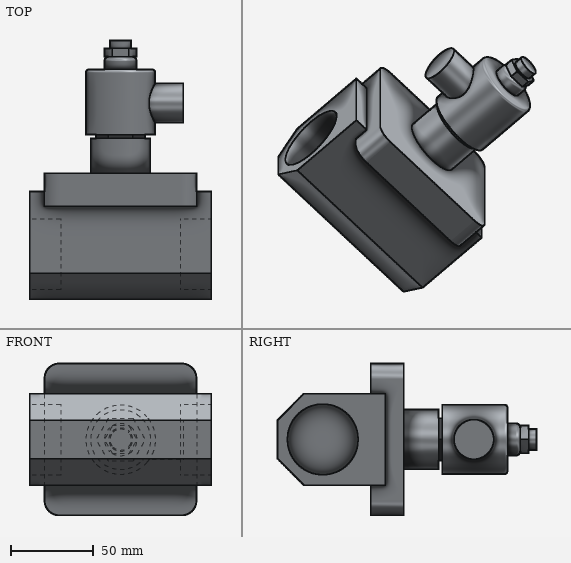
import cadquery as cq

BLOCK_LENGTH = 110.0
BLOCK_HEIGHT = 55.5
BLOCK_BACK = 65.4
CHAMFER_DEPTH = 16.0
CHAMFER_HEIGHT = 16.2

PORT_DIAMETER = 42.8
PORT_CENTER_Y = 27.5
PORT_DEPTH = 18.8

FLANGE_SIZE = 92.0
FLANGE_CORNER_RADIUS = 9.1
FLANGE_FRONT = 56.5
FLANGE_BACK = 76.5

COLLAR_DIAMETER = 36.2
COLLAR_BACK = 97.5
NECK_HEX_CORNERS = 29.8

COIL_DIAMETER = 42.0
COIL_FRONT = 99.7
COIL_BACK = 139.2
COIL_FILLET = 1.9

CONDUIT_DIAMETER = 24.0
CONDUIT_CENTER_Y = 118.9
CONDUIT_END_X = 38.1

BOSS_DIAMETER = 19.6
BOSS_BACK = 147.0
BOSS_FILLET = 2.7
NUT_CORNERS = 19.6
NUT_BACK = 152.0
STUD_DIAMETER = 12.9
STUD_BACK = 156.8


def plane_facing_back(y):
    """XZ plane at the given Y, with its normal along +Y."""
    return cq.Workplane(cq.Plane(origin=(0, y, 0), xDir=(1, 0, 0), normal=(0, 1, 0)))


def cylinder_along_y(diameter, front, back):
    return plane_facing_back(front).circle(diameter / 2).extrude(back - front)


def hexagon_along_y(corners, front, back):
    """Hexagonal prism with two of its corners on the X axis."""
    return plane_facing_back(front).polygon(6, corners).extrude(back - front)


def make_block():
    half_height = BLOCK_HEIGHT / 2
    nose = half_height - CHAMFER_HEIGHT
    profile = [
        (0, -nose),
        (CHAMFER_DEPTH, -half_height),
        (BLOCK_BACK, -half_height),
        (BLOCK_BACK, half_height),
        (CHAMFER_DEPTH, half_height),
        (0, nose),
    ]
    return cq.Workplane("YZ").polyline(profile).close().extrude(BLOCK_LENGTH / 2, both=True)


def make_flange():
    return (
        plane_facing_back(FLANGE_FRONT)
        .rect(FLANGE_SIZE, FLANGE_SIZE)
        .extrude(FLANGE_BACK - FLANGE_FRONT)
        .edges("|Y")
        .fillet(FLANGE_CORNER_RADIUS)
    )


def make_port(side):
    """Port bore cutter, for the -X end (side = -1) or the +X end (side = 1)."""
    return (
        cq.Workplane("YZ", origin=(side * BLOCK_LENGTH / 2, PORT_CENTER_Y, 0))
        .circle(PORT_DIAMETER / 2)
        .extrude(-side * PORT_DEPTH)
    )


def make_valve_body():
    collar = cylinder_along_y(COLLAR_DIAMETER, FLANGE_BACK, COLLAR_BACK)
    neck = hexagon_along_y(NECK_HEX_CORNERS, COLLAR_BACK, COIL_FRONT)
    body = make_block().union(make_flange()).union(collar).union(neck)
    for side in (-1, 1):
        body = body.cut(make_port(side))
    return body


def make_solenoid():
    coil = cylinder_along_y(COIL_DIAMETER, COIL_FRONT, COIL_BACK).edges(">Y").fillet(COIL_FILLET)
    conduit = (
        cq.Workplane("YZ", origin=(0, CONDUIT_CENTER_Y, 0))
        .circle(CONDUIT_DIAMETER / 2)
        .extrude(CONDUIT_END_X)
    )
    boss = cylinder_along_y(BOSS_DIAMETER, COIL_BACK, BOSS_BACK).edges(">Y").fillet(BOSS_FILLET)
    nut = hexagon_along_y(NUT_CORNERS, BOSS_BACK, NUT_BACK)
    stud = cylinder_along_y(STUD_DIAMETER, NUT_BACK, STUD_BACK)
    return coil.union(conduit).union(boss).union(nut).union(stud)


valve_body = make_valve_body()
solenoid = make_solenoid()

result = cq.Compound.makeCompound([valve_body.val(), solenoid.val()])